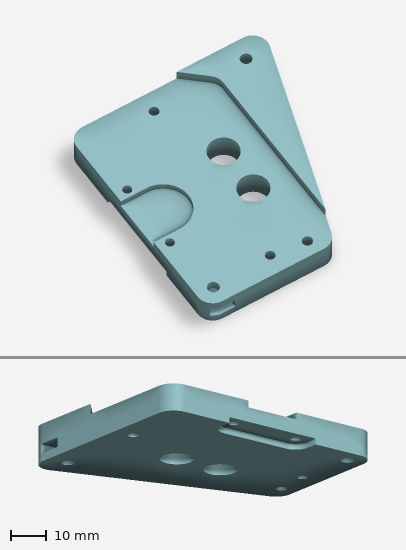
import cadquery as cq

width = 72.0
left_corner_y = 64.95
right_corner_y = 42.2
corner_radius = 5.0
mid_x = width / 2

plate_height = 8.0
ledge_rise = 3.0
total_height = plate_height + ledge_rise

ledge_front_y = 45.15
ledge_left_y = 36.2
ledge_bend_x = 8.0
ledge_bend_radius = 5.05

bolt_diameter = 3.6
bolt_points = {"left": (6.6, 54.9), "right": (66.6, 5.5)}
locating_diameter = 3.2
locating_point = (67.25, 36.15)
side_diameter = 3.0
side_spacing = 59.6
side_y = 24.8
front_diameter = 2.8
front_spacing = 21.9
front_y = 3.75
window_diameter = 9.5
window_spacing = 15.3
window_y = 33.5

nut_slot_width = 7.55
nut_slot_height = 2.8
nut_slot_floor = 2.4

top_pocket_width = 16.85
top_pocket_length = 17.0
top_pocket_depth = 2.0

recess_corner_radius = 4.2
recess_depth = 1.7


def make_body():
    outline = [(0, 0), (width, 0), (width, right_corner_y), (0, left_corner_y)]
    return cq.Workplane("XY").polyline(outline).close().extrude(total_height).edges("|Z").fillet(corner_radius)


def make_ledge_clearance():
    """Volume above the lower part of the plate, in front of the ledge."""
    outline = [
        (0, 0),
        (width, 0),
        (width, ledge_front_y),
        (ledge_bend_x, ledge_front_y),
        (0, ledge_left_y),
    ]
    clearance = cq.Workplane("XY").workplane(offset=plate_height).polyline(outline).close().extrude(ledge_rise)
    bend = cq.selectors.NearestToPointSelector((ledge_bend_x, ledge_front_y, plate_height + ledge_rise / 2))
    return clearance.edges(bend).fillet(ledge_bend_radius)


def make_holes(points, diameter):
    return cq.Workplane("XY").pushPoints(points).circle(diameter / 2).extrude(total_height)


def mirrored_pair(spacing, y):
    return [(mid_x - spacing / 2, y), (mid_x + spacing / 2, y)]


def make_nut_slot(side):
    """Slot from the nearest side wall to half a slot width past the bolt."""
    bolt_x, bolt_y = bolt_points[side]
    wall_distance = bolt_x if side == "left" else width - bolt_x
    length = wall_distance + nut_slot_width / 2
    start_x = 0 if side == "left" else width - length
    slot = cq.Workplane("XY").box(length, nut_slot_width, nut_slot_height, centered=(False, True, False))
    return slot.translate((start_x, bolt_y, nut_slot_floor))


def make_top_pocket():
    radius = top_pocket_width / 2
    straight = top_pocket_length - radius
    return (
        cq.Workplane("XY")
        .workplane(offset=plate_height - top_pocket_depth)
        .moveTo(mid_x - radius, 0)
        .lineTo(mid_x - radius, straight)
        .threePointArc((mid_x, top_pocket_length), (mid_x + radius, straight))
        .lineTo(mid_x + radius, 0)
        .close()
        .extrude(top_pocket_depth)
    )


def make_underside_recess():
    recess_width = front_spacing + 2 * recess_corner_radius
    recess_length = front_y + recess_corner_radius
    recess = cq.Workplane("XY").box(recess_width, recess_length, recess_depth, centered=(True, False, False))
    return recess.edges("|Z and >Y").fillet(recess_corner_radius).translate((mid_x, 0, 0))


cutters = [
    make_ledge_clearance(),
    make_holes(bolt_points.values(), bolt_diameter),
    make_holes([locating_point], locating_diameter),
    make_holes(mirrored_pair(side_spacing, side_y), side_diameter),
    make_holes(mirrored_pair(front_spacing, front_y), front_diameter),
    make_holes(mirrored_pair(window_spacing, window_y), window_diameter),
    make_nut_slot("left"),
    make_nut_slot("right"),
    make_top_pocket(),
    make_underside_recess(),
]

result = make_body()
for cutter in cutters:
    result = result.cut(cutter)